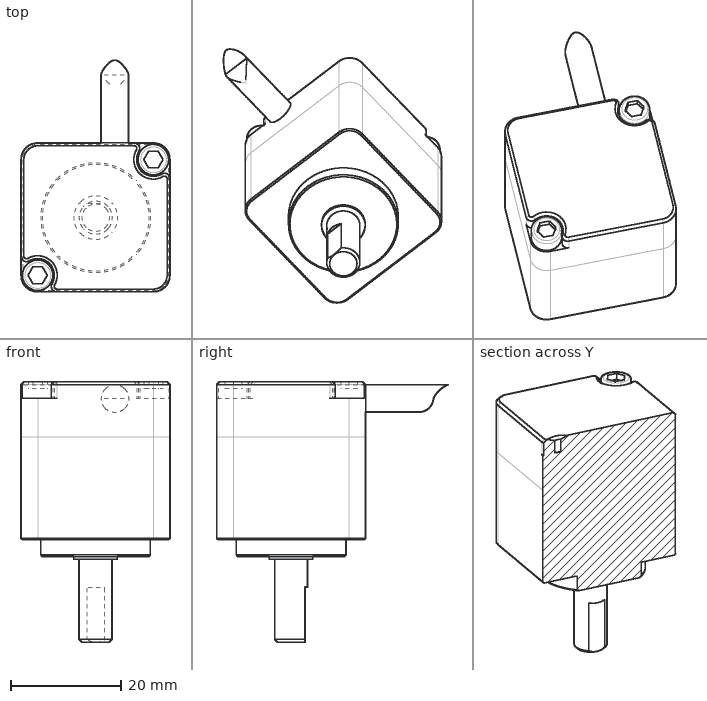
import cadquery as cq
import math

total_height = 47.2
body_width = 27.0
corner_radius = 3.0

shaft_length = 15.0
shoulder_height = 0.5
pilot_height = 3.0
cover_height = 10.0
shoulder_bottom = shaft_length
pilot_bottom = shoulder_bottom + shoulder_height
body_bottom = pilot_bottom + pilot_height
cover_bottom = total_height - cover_height

shaft_diameter = 6.0
shaft_chamfer = 0.5
flat_length = 10.0
flat_depth = 0.45
shoulder_diameter = 7.95
pilot_diameter = 19.9
pilot_chamfer = 0.3

body_chamfer = 0.3
cover_chamfer = 0.5

head_diameter = 5.5
head_height = 3.0
head_fillet = 0.42
hex_across_flats = 3.0
hex_depth = 1.2
pocket_radius = 3.0
mouth_radius = 1.0
pocket_floor = total_height - head_height

cable_diameter = 5.0
cable_x = 3.5
cable_length = 15.0
cable_drop = 0.5
cable_end_slant = 5.4
cable_hollow_radius = 5.0
cable_bulge_radius = 2.7

half_width = body_width / 2
screw_offset = half_width - corner_radius


def make_output_end():
    """Shaft with a flat, its shoulder and the round pilot."""
    shaft = cq.Workplane("XY").circle(shaft_diameter / 2).extrude(shaft_length)
    shaft = shaft.faces("<Z").chamfer(shaft_chamfer)
    flat_cutter = cq.Workplane("XY").box(
        shaft_diameter, shaft_diameter, flat_length, centered=(True, False, False)
    )
    shaft = shaft.cut(flat_cutter.translate((0, shaft_diameter / 2 - flat_depth, 0)))
    shoulder = (
        cq.Workplane("XY").workplane(offset=shoulder_bottom)
        .circle(shoulder_diameter / 2).extrude(shoulder_height)
    )
    pilot = (
        cq.Workplane("XY").workplane(offset=pilot_bottom)
        .circle(pilot_diameter / 2).extrude(pilot_height)
        .faces("<Z").chamfer(pilot_chamfer)
    )
    return shaft.union(shoulder).union(pilot)


def make_rounded_block(bottom, top):
    """Square block with rounded vertical edges."""
    return (
        cq.Workplane("XY").workplane(offset=bottom)
        .rect(body_width, body_width).extrude(top - bottom)
        .edges("|Z").fillet(corner_radius)
    )


def make_lid():
    """Top layer of the cover, with both screw pockets left out of its outline."""
    center_distance = pocket_radius + mouth_radius
    mouth_across = corner_radius - mouth_radius
    mouth_along = math.sqrt(center_distance**2 - mouth_across**2)
    touch_along = mouth_along * pocket_radius / center_distance
    touch_across = mouth_across * pocket_radius / center_distance

    outline = cq.Workplane("XY").workplane(offset=pocket_floor).moveTo(screw_offset, -half_width)
    for turn in (1, -1):
        corner = -turn * screw_offset
        outline = (
            outline
            .lineTo(corner + turn * mouth_along, -turn * half_width)
            .tangentArcPoint((corner + turn * touch_along, corner - turn * touch_across), relative=False)
            .tangentArcPoint((corner - turn * touch_across, corner + turn * touch_along), relative=False)
            .tangentArcPoint((-turn * half_width, corner + turn * mouth_along), relative=False)
            .lineTo(-turn * half_width, turn * screw_offset)
            .tangentArcPoint((-turn * screw_offset, turn * half_width), relative=False)
        )
    return outline.close().extrude(head_height).faces(">Z").chamfer(cover_chamfer)


def make_screw_head(x, y):
    """Screw head with a rounded rim and a hexagonal socket."""
    hex_across_corners = hex_across_flats / math.cos(math.pi / 6)
    return (
        cq.Workplane("XY").workplane(offset=pocket_floor).center(x, y)
        .circle(head_diameter / 2).extrude(head_height)
        .faces(">Z").edges().fillet(head_fillet)
        .faces(">Z").workplane().polygon(6, hex_across_corners).cutBlind(-hex_depth)
    )


def make_cable():
    """Round cable whose free end is cut along an S-curve of two arcs."""
    cable_top = total_height - cable_drop
    cable_middle = cable_top - cable_diameter / 2
    cable_bottom = cable_top - cable_diameter
    tip = half_width + cable_length
    cable = (
        cq.Workplane("XZ").center(cable_x, cable_middle)
        .circle(cable_diameter / 2).extrude(-tip)
    )
    keep = (
        cq.Workplane("YZ").workplane(offset=cable_x)
        .moveTo(screw_offset, cable_top)
        .lineTo(tip, cable_top)
        .radiusArc((tip - cable_end_slant / 2, cable_middle), -cable_hollow_radius)
        .radiusArc((tip - cable_end_slant, cable_bottom), cable_bulge_radius)
        .lineTo(screw_offset, cable_bottom)
        .close().extrude(cable_diameter / 2, both=True)
    )
    return cable.intersect(keep)


housing = make_rounded_block(body_bottom, cover_bottom).faces("<Z").chamfer(body_chamfer)
cover = make_rounded_block(cover_bottom, pocket_floor).union(make_lid())
for side in (1, -1):
    cover = cover.union(make_screw_head(side * screw_offset, side * screw_offset))
cover = cover.union(make_cable())

result = make_output_end().union(housing).union(cover, clean=False)